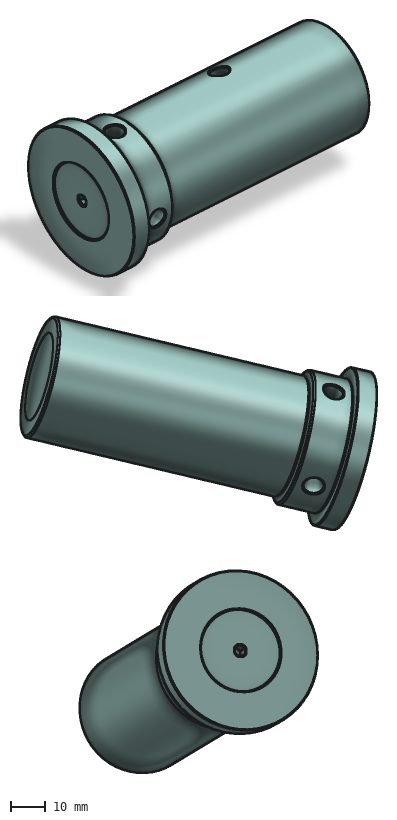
import cadquery as cq
import math

total_length = 95.0
end_gap = 0.5

flange_diameter = 47.0
flange_thickness = 6.0
flange_chamfer = 0.3
flange_bore_chamfer = 0.4

collar_diameter = 40.0
collar_width = 12.2
collar_chamfer = 0.6
collar_hole_count = 4
collar_hole_turn = 3.0

sleeve_diameter = 36.0
sleeve_chamfer = 0.6
sleeve_hole_turn = -15.0

shaft_diameter = 26.0
spigot_diameter = 23.95

radial_hole_diameter = 5.8
radial_hole_chamfer = 0.4

spigot_recess = 0.5

socket_across_flats = 3.0
socket_depth = 4.75
socket_mouth_diameter = 3.9

collar_start = flange_thickness
collar_end = collar_start + collar_width
sleeve_start = collar_end + end_gap
sleeve_length = total_length - sleeve_start


def disc(diameter, start, length):
    """Solid cylinder along +Y, beginning at Y = start."""
    plane = cq.Workplane("XZ", origin=(0, start, 0))
    return plane.circle(diameter / 2).extrude(-length)


def tube(outer_diameter, bore_diameter, start, length, chamfer):
    """Ring along +Y with both outer rims chamfered."""
    body = disc(outer_diameter, start, length).faces("<Y or >Y").edges().chamfer(chamfer)
    return body.cut(disc(bore_diameter, start, length))


def drill_radially(body, body_diameter, position, turn):
    """Drill a hole from the outside of a body to the Y axis and chamfer its mouth."""
    radius = body_diameter / 2
    angle = math.radians(turn)
    mouth_centre = (radius * math.sin(angle), position, radius * math.cos(angle))
    drill = cq.Workplane("XY").circle(radial_hole_diameter / 2).extrude(radius)
    drill = drill.rotate((0, 0, 0), (0, 1, 0), turn).translate((0, position, 0))
    mouth_edge = cq.selectors.NearestToPointSelector(mouth_centre)
    return body.cut(drill).edges(mouth_edge).chamfer(radial_hole_chamfer)


def make_flange():
    body = tube(flange_diameter, spigot_diameter, 0, flange_thickness, flange_chamfer)
    bore_rim = cq.selectors.RadiusNthSelector(0)
    return body.faces("<Y").edges(bore_rim).chamfer(flange_bore_chamfer)


def make_collar():
    body = tube(collar_diameter, shaft_diameter, collar_start, collar_width, collar_chamfer)
    for index in range(collar_hole_count):
        turn = collar_hole_turn + index * 360 / collar_hole_count
        body = drill_radially(body, collar_diameter, collar_start + collar_width / 2, turn)
    return body


def make_sleeve():
    body = tube(sleeve_diameter, shaft_diameter, sleeve_start, sleeve_length, sleeve_chamfer)
    hole_position = sleeve_start + sleeve_length / 2
    return drill_radially(body, sleeve_diameter, hole_position, sleeve_hole_turn)


def cut_hex_socket(body):
    """Blind hexagonal socket in the spigot face, corners on X, with a 45 degree round lead-in."""
    face = cq.Workplane("XZ", origin=(0, spigot_recess, 0))
    socket = face.polygon(6, socket_across_flats, circumscribed=True).extrude(-socket_depth)
    lead_in_depth = (socket_mouth_diameter - socket_across_flats) / 2
    lead_in = face.circle(socket_mouth_diameter / 2).extrude(-lead_in_depth, taper=45)
    return body.cut(socket).cut(lead_in)


def make_shaft():
    spigot = disc(spigot_diameter, spigot_recess, flange_thickness - spigot_recess)
    main = disc(shaft_diameter, flange_thickness, total_length - flange_thickness)
    return cut_hex_socket(spigot.union(main))


flange = make_flange()
collar = make_collar()
sleeve = make_sleeve()
shaft = make_shaft()

result = cq.Compound.makeCompound([flange.val(), collar.val(), sleeve.val(), shaft.val()])